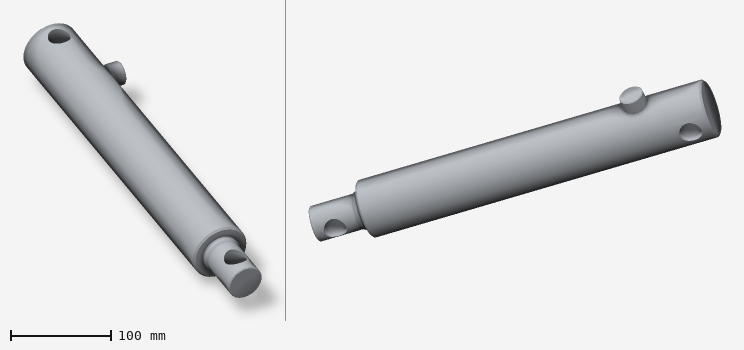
import cadquery as cq


barrel_diameter = 60.0
base_cap_length = 44.0
tube_length = 290.0
gland_length = 36.0
barrel_chamfer = 2.0

overall_length = 424.0
rod_diameter = 40.0
rod_exposed_length = 5.0
rod_taper_length = 2.5
rod_eye_diameter = 37.0
rod_end_chamfer = 1.0

pin_hole_diameter = 23.0
pin_to_end = 22.0

port_diameter = 25.0
port_x = 69.0
port_length = 15.0
port_chamfer = 1.0

barrel_radius = barrel_diameter / 2
tube_start_x = base_cap_length
gland_start_x = tube_start_x + tube_length
gland_end_x = gland_start_x + gland_length
base_pin_x = pin_to_end
rod_pin_x = overall_length - pin_to_end
port_face_y = barrel_radius + port_length


def pin_hole(center_x):
    """Cutter along Z, long enough to pass through the barrel."""
    return (
        cq.Workplane("XY")
        .center(center_x, 0)
        .circle(pin_hole_diameter / 2)
        .extrude(barrel_radius, both=True)
    )


def chamfered_barrel_end(length):
    """Barrel-diameter plug from X = 0 to X = length, chamfered at X = 0."""
    return (
        cq.Workplane("XY")
        .lineTo(0, barrel_radius - barrel_chamfer)
        .lineTo(barrel_chamfer, barrel_radius)
        .lineTo(length, barrel_radius)
        .lineTo(length, 0)
        .close()
        .revolve(360, (0, 0, 0), (1, 0, 0))
    )


def make_base_cap():
    return chamfered_barrel_end(base_cap_length).cut(pin_hole(base_pin_x))


def make_port():
    return (
        cq.Workplane("XZ", origin=(port_x, port_face_y, 0))
        .circle(port_diameter / 2)
        .extrude(port_length)
        .faces("<Y or >Y")
        .chamfer(port_chamfer)
    )


def make_tube():
    return cq.Workplane("YZ", origin=(tube_start_x, 0, 0)).circle(barrel_radius).extrude(tube_length)


def make_gland():
    mirrored = chamfered_barrel_end(gland_length).mirror("YZ")
    return mirrored.translate((gland_end_x, 0, 0))


def make_rod():
    taper_start_x = gland_end_x + rod_exposed_length
    taper_end_x = taper_start_x + rod_taper_length
    rod_radius = rod_diameter / 2
    eye_radius = rod_eye_diameter / 2
    body = (
        cq.Workplane("XY")
        .moveTo(gland_end_x, 0)
        .lineTo(gland_end_x, rod_radius)
        .lineTo(taper_start_x, rod_radius)
        .lineTo(taper_end_x, eye_radius)
        .lineTo(overall_length - rod_end_chamfer, eye_radius)
        .lineTo(overall_length, eye_radius - rod_end_chamfer)
        .lineTo(overall_length, 0)
        .close()
        .revolve(360, (0, 0, 0), (1, 0, 0))
    )
    return body.cut(pin_hole(rod_pin_x))


base_cap = make_base_cap()
tube = make_tube()
gland = make_gland()
rod = make_rod()
port = make_port()

result = cq.Compound.makeCompound(
    [base_cap.val(), tube.val(), gland.val(), rod.val(), port.val()]
)